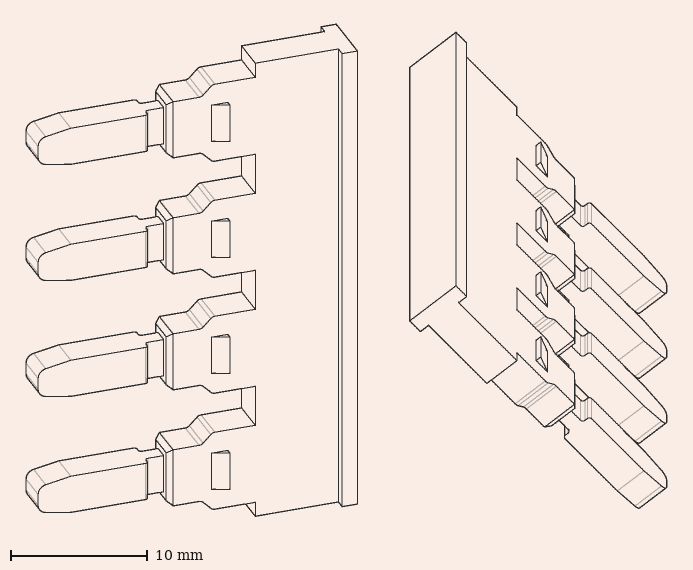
import cadquery as cq
import math

bar_length = 37.4
flange_width = 4.5
flange_depth = 1.2
body_thickness = 2.9
body_depth = 7.65

contact_count = 4
contact_pitch = 9.57

shoulder_height = 6.35
shoulder_depth = 11.0
collar_height = 4.65
collar_depth = 14.47
slope_blend_radius = 0.45
rim_length = 0.4
rim_inset = 0.35

latch_start = 9.8
latch_end = 11.07
latch_height = 3.0
latch_projection = 0.45

pin_height = 3.0
pin_thickness = 2.58
neck_thickness = 1.2
blade_depth = 15.95
blade_blend_radius = 0.22
taper_depth = 21.95
tip_depth = 24.5
taper_angle = 10.0
tip_radius = 0.7

root_overlap = 0.37
selection_margin = 0.37


def make_bar():
    flange = cq.Workplane("XY").box(flange_width, flange_depth, bar_length).translate((0, -flange_depth / 2, 0))
    body = cq.Workplane("XY").box(body_thickness, body_depth, bar_length).translate((0, -body_depth / 2, 0))
    return flange.union(body)


def make_tooth():
    half_shoulder = shoulder_height / 2
    half_collar = collar_height / 2
    root = body_depth - root_overlap
    slope_end = shoulder_depth + half_shoulder - half_collar
    collar_end = collar_depth - rim_length

    profile = [
        (-root, half_shoulder),
        (-shoulder_depth, half_shoulder),
        (-slope_end, half_collar),
        (-collar_end, half_collar),
        (-collar_end, -half_collar),
        (-slope_end, -half_collar),
        (-shoulder_depth, -half_shoulder),
        (-root, -half_shoulder),
    ]
    tooth = cq.Workplane("YZ").polyline(profile).close().extrude(body_thickness / 2, both=True)
    slope_zone = cq.selectors.BoxSelector(
        (-body_thickness, -slope_end - selection_margin, -bar_length),
        (body_thickness, -shoulder_depth + selection_margin, bar_length),
    )
    tooth = tooth.edges("|X").edges(slope_zone).fillet(slope_blend_radius)

    rim = (
        cq.Workplane("XZ", origin=(0, -collar_end, 0))
        .rect(body_thickness, collar_height)
        .workplane(offset=rim_length)
        .rect(body_thickness - 2 * rim_inset, collar_height - 2 * rim_inset)
        .loft(ruled=True)
    )
    return tooth.union(rim)


def make_latches():
    half_body = body_thickness / 2
    section = [
        (-half_body - latch_projection, -latch_start),
        (half_body + latch_projection, -latch_start),
        (half_body, -latch_end),
        (-half_body, -latch_end),
    ]
    return cq.Workplane("XY").polyline(section).close().extrude(latch_height / 2, both=True)


def make_pin():
    half_height = pin_height / 2
    root = collar_depth - root_overlap
    half_tip = half_height - (tip_depth - taper_depth) * math.tan(math.radians(taper_angle))

    side = [
        (-root, half_height),
        (-taper_depth, half_height),
        (-tip_depth, half_tip),
        (-tip_depth, -half_tip),
        (-taper_depth, -half_height),
        (-root, -half_height),
    ]
    pin = cq.Workplane("YZ").polyline(side).close().extrude(pin_thickness / 2, both=True)
    pin = pin.faces("<Y").edges("|X").fillet(tip_radius)

    slot_depth = (pin_thickness - neck_thickness) / 2
    slot_length = blade_depth - root
    for side_sign in (-1, 1):
        slot = (
            cq.Workplane("XY")
            .box(slot_depth, slot_length, pin_height)
            .translate((side_sign * (neck_thickness + slot_depth) / 2, -(root + blade_depth) / 2, 0))
        )
        pin = pin.cut(slot)
    shoulder_zone = cq.selectors.BoxSelector(
        (-pin_thickness, -blade_depth - selection_margin, -pin_height),
        (pin_thickness, -blade_depth + selection_margin, pin_height),
    )
    return pin.edges("|Z").edges(shoulder_zone).fillet(blade_blend_radius)


contact = make_tooth().union(make_latches()).union(make_pin())

result = make_bar()
for index in range(contact_count):
    contact_z = (index - (contact_count - 1) / 2) * contact_pitch
    result = result.union(contact.translate((0, 0, contact_z)))